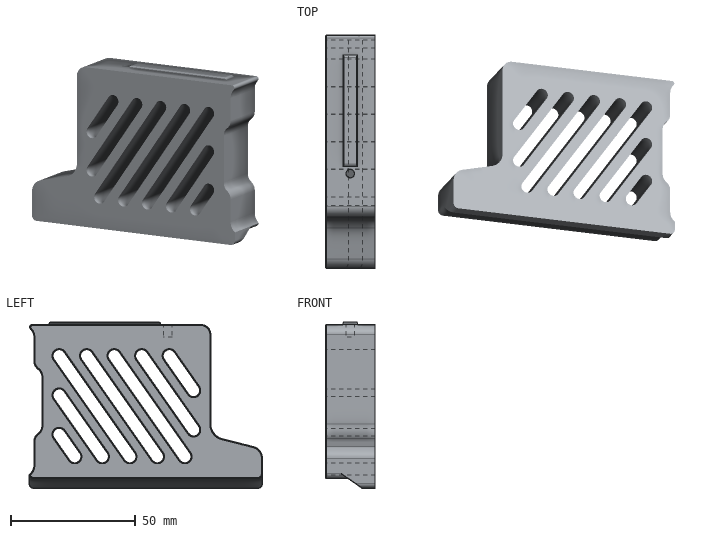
import cadquery as cq
import math

width = 20.0
length = 94.0
body_top = 66.0
ledge_z = 3.95
edge_chamfer = 0.4
bottom_radius = 2.0

wall_y = 20.8
wall_top_radius = 4.0
toe_corner_z = 15.9
toe_radius = 4.9
step_corner_z = 21.15
step_radius = 6.0

rear_mid_z = 35.1
rear_wall_y = 92.0
lip_arc_radius = 5.0
lip_arc_height = 25.7
lip_tip_radius = 1.0
recess_depth = 3.2
recess_half_height = 13.0
recess_radius = 4.0

flank_bottom_x = 14.85
flank_angle = 35.0

slot_width = 5.0
slot_angle = 55.0
slot_pitch = 11.1
slot_front_y = 27.7
slot_rear_y = 81.9
slot_low_z = 12.8
slot_high_z = 53.4
slot_lines = range(-2, 5)

rail_width = 6.0
rail_length = 45.0
rail_height = 1.0
rail_front_y = 41.0
rail_edge = 0.5
hole_diameter = 3.4
hole_depth = 5.0
hole_y = 38.2


def round_corner(solid, y, z, radius):
    """Round the edge along X that lies nearest to the given corner."""
    corner = cq.selectors.NearestToPointSelector((width / 2, y, z))
    return solid.edges("|X").edges(corner).fillet(radius)


def stepped_block(bottom_z):
    """Block with the stepped, rounded front and a plain rear face."""
    outline = [
        (0, bottom_z),
        (length, bottom_z),
        (length, body_top),
        (wall_y, body_top),
        (wall_y, step_corner_z),
        (0, toe_corner_z),
    ]
    block = cq.Workplane("YZ").polyline(outline).close().extrude(width)
    block = round_corner(block, 0, bottom_z, bottom_radius)
    block = round_corner(block, length, bottom_z, bottom_radius)
    block = round_corner(block, wall_y, body_top, wall_top_radius)
    block = round_corner(block, wall_y, step_corner_z, step_radius)
    return round_corner(block, 0, toe_corner_z, toe_radius)


def rear_relief():
    """Cutter for the rear face: hooked lips above and below, and a shallow recess between them."""
    lip_high_z = rear_mid_z + lip_arc_height
    lip_low_z = rear_mid_z - lip_arc_height
    lip_y = rear_wall_y + lip_arc_radius
    outside_y = lip_y + lip_arc_radius

    tip_z = body_top - lip_tip_radius
    centre_distance = lip_arc_radius + lip_tip_radius
    tangent_angle = math.asin((tip_z - lip_high_z) / centre_distance)
    tip_y = lip_y - centre_distance * math.cos(tangent_angle)
    tangent_y = lip_y - lip_arc_radius * math.cos(tangent_angle)
    tangent_z = lip_high_z + lip_arc_radius * math.sin(tangent_angle)

    recess_y = rear_wall_y - recess_depth
    half_depth_y = rear_wall_y - recess_depth / 2
    arc_rise = math.sqrt(recess_radius**2 - (recess_radius - recess_depth / 2) ** 2)
    flank_high_z = rear_mid_z + recess_half_height
    flank_low_z = rear_mid_z - recess_half_height

    return (
        cq.Workplane("YZ")
        .moveTo(outside_y, lip_low_z - lip_arc_radius)
        .lineTo(lip_y, lip_low_z - lip_arc_radius)
        .tangentArcPoint((rear_wall_y, lip_low_z), relative=False)
        .lineTo(rear_wall_y, flank_low_z - arc_rise)
        .tangentArcPoint((half_depth_y, flank_low_z), relative=False)
        .tangentArcPoint((recess_y, flank_low_z + arc_rise), relative=False)
        .lineTo(recess_y, flank_high_z - arc_rise)
        .tangentArcPoint((half_depth_y, flank_high_z), relative=False)
        .tangentArcPoint((rear_wall_y, flank_high_z + arc_rise), relative=False)
        .lineTo(rear_wall_y, lip_high_z)
        .tangentArcPoint((tangent_y, tangent_z), relative=False)
        .tangentArcPoint((tip_y, body_top), relative=False)
        .lineTo(outside_y, body_top)
        .close()
        .extrude(width)
    )


def foot_region():
    """Space below the sloped flank that limits the foot to the +X side."""
    flank_top_z = ledge_z + 2 * bottom_radius
    flank_top_x = flank_bottom_x - flank_top_z / math.tan(math.radians(flank_angle))
    flank = [(flank_bottom_x, 0), (width, 0), (width, flank_top_z), (flank_top_x, flank_top_z)]
    return cq.Workplane("XZ").polyline(flank).close().extrude(-length)


def diagonal_slots():
    """Through slots, each trimmed to the rectangle of end centres and bevelled at the -X face."""
    slope = math.tan(math.radians(slot_angle))
    slots = cq.Workplane("YZ")
    for line in slot_lines:
        top_y = slot_rear_y - line * slot_pitch
        start_y = min(slot_rear_y, top_y)
        end_y = max(slot_front_y, top_y - (slot_high_z - slot_low_z) / slope)
        middle_y = (start_y + end_y) / 2
        middle_z = slot_high_z - (top_y - middle_y) * slope
        span = (start_y - end_y) / math.cos(math.radians(slot_angle))
        plane = cq.Workplane("YZ").center(middle_y, middle_z)
        slot = plane.slot2D(span + slot_width, slot_width, slot_angle).extrude(width)
        mouth_width = slot_width + 2 * edge_chamfer
        mouth = plane.slot2D(span + mouth_width, mouth_width, slot_angle).extrude(edge_chamfer, taper=45)
        slots = slots.add(slot.union(mouth))
    return slots.combine()


def top_rail():
    """Raised rail with rounded ends and bevelled long edges, sunk into the body by its own height."""
    blank = (
        cq.Workplane("XY", origin=(width / 2, rail_front_y + rail_length / 2, body_top))
        .box(rail_width, rail_length, 2 * rail_height)
    )
    bevelled = blank.edges("|Y and >Z").chamfer(rail_edge)
    rounded = blank.edges("|X and >Z").fillet(rail_height)
    return bevelled.intersect(rounded)


def pin_hole():
    """Blind hole in the top face, in front of the rail."""
    return (
        cq.Workplane("XY", origin=(width / 2, hole_y, body_top))
        .circle(hole_diameter / 2)
        .extrude(-hole_depth)
    )


body = stepped_block(ledge_z).cut(rear_relief())
body = body.faces("<X").edges().chamfer(edge_chamfer)
foot = stepped_block(0).cut(rear_relief()).intersect(foot_region())
result = body.union(foot).cut(diagonal_slots()).union(top_rail()).cut(pin_hole())